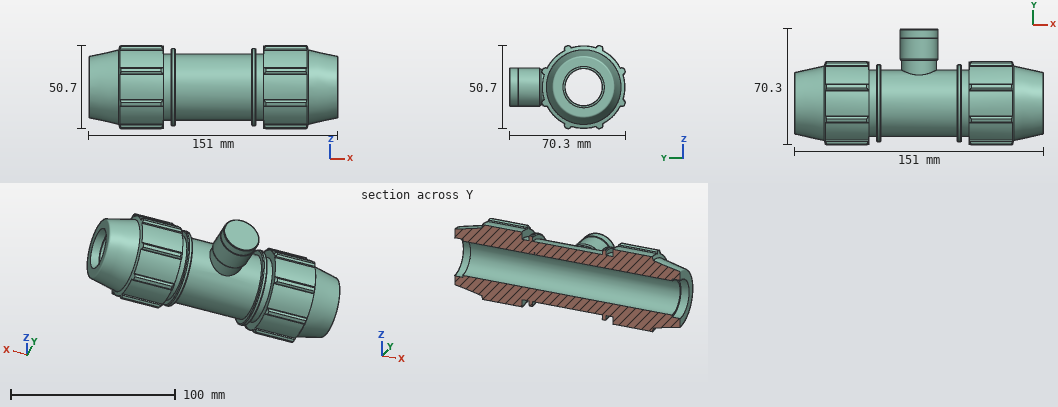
import cadquery as cq
import math

length = 151.0
half_length = length / 2

body_radius = 40.5 / 2
collar_radius = 47.0 / 2
collar_start = 49.7
collar_width = 2.7
collar_chamfer = 0.6

bore_radius = 22.5 / 2
mouth_radius = 25.0 / 2
mouth_depth = 5.5

tip_radius = 18.9
tip_rounding = 1.0
nose_end = 18.0
nose_end_radius = 22.6
grip_start = 18.7
grip_end = 45.1
grip_radius = 25.0

rib_count = 8
rib_pitch = 360 / rib_count
rib_radius = 27.0
rib_top_width = 2.1
rib_foot_width = 4.2
rib_foot_height = 0.8
rib_bevel = 1.4
rib_sink = 1.5

branch_reach = 45.0
branch_radius = 23.3 / 2
branch_neck_radius = 21.5 / 2
branch_head_length = 19.0
branch_chamfer = 0.5
shoulder_chamfer = 0.8
groove_from_end = 5.3
groove_width = 0.3
groove_depth = 0.3


def cylinder_along_run(radius, start, width):
    """Solid cylinder on the X axis, starting a given distance from the -X end."""
    return cq.Workplane("YZ", origin=(start - half_length, 0, 0)).circle(radius).extrude(width)


def nut_core():
    """Nose and grip of the nut at the -X end, without ribs."""
    tip_face_radius = tip_radius - tip_rounding
    mid_offset = tip_rounding * (1 - math.sqrt(0.5))
    profile = (
        cq.Workplane("XY", origin=(-half_length, 0, 0))
        .lineTo(0, tip_face_radius)
        .threePointArc((mid_offset, tip_radius - mid_offset), (tip_rounding, tip_radius))
        .lineTo(nose_end, nose_end_radius)
        .lineTo(grip_start, grip_radius)
        .lineTo(grip_end, grip_radius)
        .lineTo(grip_end, 0)
        .close()
    )
    return profile.revolve(360, (0, 0, 0), (1, 0, 0))


def nut_ribs():
    """Ring of ribs, cut by the shoulder bevel outside and bevelled towards the middle of the run."""
    rib_root = grip_radius - rib_sink
    rib_taper_start = grip_radius + rib_foot_height
    rib = (
        cq.Workplane("YZ", origin=(nose_end - half_length, 0, 0))
        .polyline([
            (-rib_foot_width / 2, rib_root),
            (-rib_foot_width / 2, rib_taper_start),
            (-rib_top_width / 2, rib_radius),
            (rib_top_width / 2, rib_radius),
            (rib_foot_width / 2, rib_taper_start),
            (rib_foot_width / 2, rib_root),
        ])
        .close()
        .extrude(grip_end - nose_end)
        .faces(">X").edges(">Z").chamfer(rib_bevel)
    )
    ribs = cq.Workplane("XY")
    for index in range(rib_count):
        ribs = ribs.add(rib.rotate((0, 0, 0), (1, 0, 0), (index + 0.5) * rib_pitch))

    shoulder_slope = (grip_start - nose_end) / (grip_radius - nose_end_radius)
    envelope_radius = 2 * rib_radius - grip_radius
    envelope = (
        cq.Workplane("XY", origin=(-half_length, 0, 0))
        .polyline([
            (nose_end, 0),
            (nose_end, nose_end_radius),
            (nose_end + shoulder_slope * (envelope_radius - nose_end_radius), envelope_radius),
            (grip_end, envelope_radius),
            (grip_end, 0),
        ])
        .close()
        .revolve(360, (0, 0, 0), (1, 0, 0))
    )
    return ribs.combine().intersect(envelope)


def run_end():
    """Nut and collar at the -X end."""
    collar = cylinder_along_run(collar_radius, collar_start, collar_width)
    collar = collar.edges().chamfer(collar_chamfer)
    return nut_core().union(nut_ribs()).union(collar)


def branch():
    """Branch neck and head, from the run axis out to +Y."""
    def disc(radius, start, end):
        return cq.Workplane("XZ", origin=(0, start, 0)).circle(radius).extrude(start - end)

    head = disc(branch_radius, branch_reach - branch_head_length, branch_reach)
    head = head.faces(">Y").edges().chamfer(branch_chamfer)
    head = head.faces("<Y").edges().chamfer(shoulder_chamfer)
    groove_end = branch_reach - groove_from_end
    groove_start = groove_end - groove_width
    groove = disc(branch_radius, groove_start, groove_end).cut(
        disc(branch_radius - groove_depth, groove_start, groove_end)
    )
    neck = disc(branch_neck_radius, 0, branch_reach - branch_head_length)
    return neck.union(head.cut(groove))


def bore():
    """Through bore and its two wider mouths."""
    left_mouth = cylinder_along_run(mouth_radius, 0, mouth_depth)
    return cylinder_along_run(bore_radius, 0, length).union(left_mouth).union(left_mouth.mirror("YZ"))


left_end = run_end()
body = cylinder_along_run(body_radius, grip_end, length - 2 * grip_end)
result = body.union(left_end).union(left_end.mirror("YZ")).union(branch()).cut(bore())